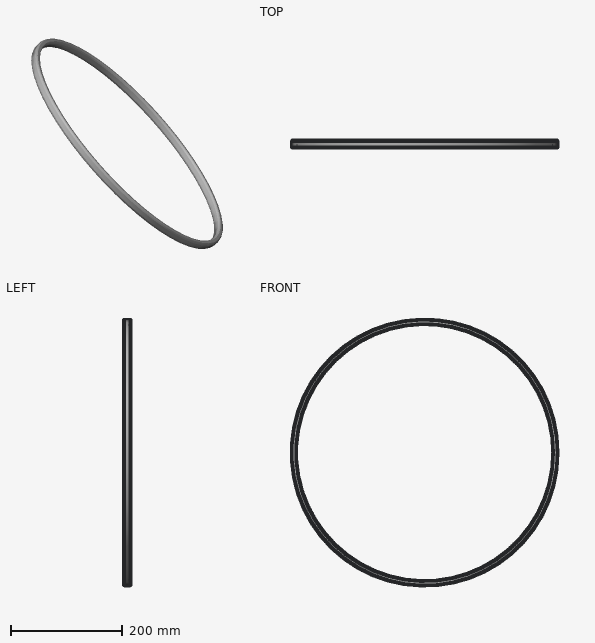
import cadquery as cq

outer_radius = 240.5
wall = 11.0
width = 16.0

rim_bevel_width = 4.0
face_bevel_depth = 3.0
bevel_meet_width = 1.2
bevel_meet_depth = 1.2

half_wall = wall / 2
half_width = width / 2
middle_radius = outer_radius - half_wall

corner = [
    (half_wall, half_width - rim_bevel_width),
    (half_wall - bevel_meet_depth, half_width - bevel_meet_width),
    (half_wall - face_bevel_depth, half_width),
]

half_outline = corner + [(-radial, axial) for radial, axial in reversed(corner)]
outline = half_outline + [(-radial, -axial) for radial, axial in half_outline]

section = cq.Workplane("XY").polyline(
    [(middle_radius + radial, axial) for radial, axial in outline]
).close()

result = section.revolve(360, (0, 0, 0), (0, 1, 0))